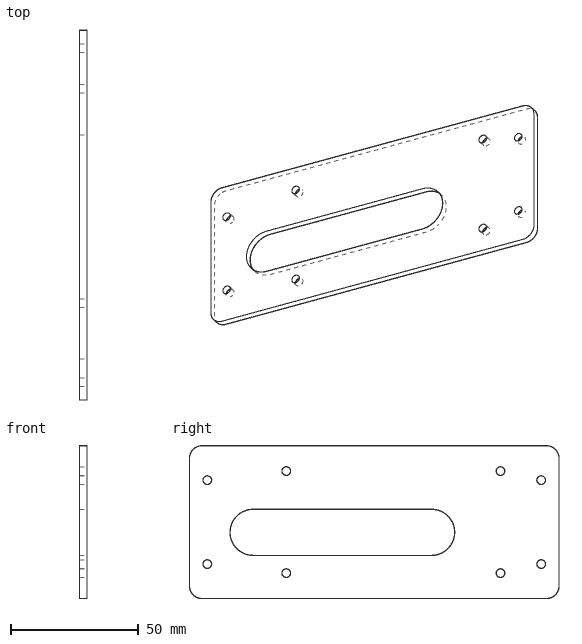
import cadquery as cq

thickness = 3.0
length = 145.0
height = 60.0
corner_radius = 5.0

hole_diameter = 3.3

outer_hole_y = 65.45
outer_hole_z = 16.45

inner_hole_rear_y = 49.5
inner_hole_front_y = -34.5
inner_hole_z = 20.0

slot_length = 88.0
slot_width = 18.0
slot_center_y = -12.5
slot_center_z = -4.0


def make_plate():
    plate = cq.Workplane("XY").box(thickness, length, height)
    return plate.edges("|X").fillet(corner_radius)


def cut_holes(body, y_positions, z_offset):
    """Drill through holes at each Y position, above and below the plate centre."""
    points = [(y, z) for y in y_positions for z in (z_offset, -z_offset)]
    drills = (
        cq.Workplane("YZ")
        .pushPoints(points)
        .circle(hole_diameter / 2)
        .extrude(thickness, both=True)
    )
    return body.cut(drills)


def cut_slot(body):
    slot = (
        cq.Workplane("YZ")
        .center(slot_center_y, slot_center_z)
        .slot2D(slot_length, slot_width)
        .extrude(thickness, both=True)
    )
    return body.cut(slot)


result = make_plate()
result = cut_holes(result, (outer_hole_y, -outer_hole_y), outer_hole_z)
result = cut_holes(result, (inner_hole_rear_y, inner_hole_front_y), inner_hole_z)
result = cut_slot(result)